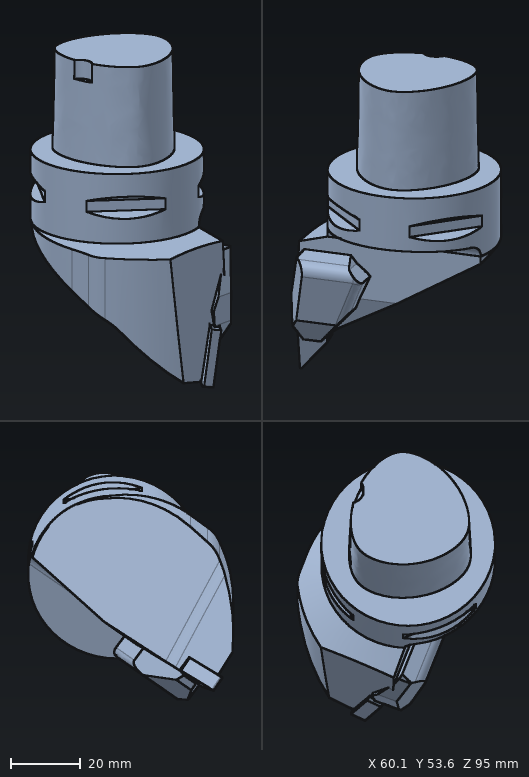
import cadquery as cq
import math

FAR = 76.0

FLANGE_RADIUS = 25.0
FLANGE_HEIGHT = 20.9

SHANK_HEIGHT = 29.8
SHANK_BASE_RADIUS = 17.6
SHANK_TOP_RADIUS = 17.0
LOBE_HEIGHT = 1.1
LOBE_COUNT = 3
SECTION_POINTS = 36

NOTCH_RADIUS = 3.8
NOTCH_DEPTH = 5.6
NOTCH_CENTER_Y = -17.8

SLOT_COUNT = 4
SLOT_FLOOR_RADIUS = 22.2
SLOT_CENTER_Z = -10.2
SLOT_FLOOR_HALF_HEIGHT = 1.6
SLOT_MOUTH_HALF_HEIGHT = 3.3
SLOT_FIRST_ANGLE = 45.0

FRONT_Y = 8.1
HEAD_NECK_RADIUS = 24.8
HEAD_BACK_Y = -28.6
SHOULDER_SLOPE = 0.3
UNDERSIDE_EDGE_Z = -16.15
UNDERSIDE_SLOPE = 0.085
UNDERSIDE_FILLET = 3.8
HEEL_AXIS_Z = -36.0
HEEL_NORMAL = (-0.6, -0.17, -1)
FLANK_AXIS_Z = -22.7
FLANK_NORMAL = (-1.19, -0.1, -1)
END_FACE_POINT = (32.0, 0, -23.4)
END_FACE_NORMAL = (1, -0.05, 0.053)
CLEARANCE_FILLET = 11.4

RAKE_ANGLE = 16.5
TOTAL_HEIGHT = 95.0
NOSE_RADIUS = 0.4
NOSE_SETBACK = 0.68
TIP_X = 35.2
TIP_Z = SHANK_HEIGHT - TOTAL_HEIGHT - NOSE_SETBACK
INSERT_THICKNESS = 4.6
TRAILING_EDGE = (-9.6, 11.1)
LEADING_EDGE = (-0.95, 17.4)

CLAMP_FILLET = 2.4
CLAMP_CORNER = ((28.5, 16.15), (33.4, 10.5))


def shank_section(mean_radius, z):
    """Closed three-lobed outline, given by its support function."""
    points = []
    for i in range(SECTION_POINTS):
        angle = 2 * math.pi * i / SECTION_POINTS
        phase = LOBE_COUNT * (angle - math.pi / 2)
        support = mean_radius + LOBE_HEIGHT * math.cos(phase)
        slope = -LOBE_COUNT * LOBE_HEIGHT * math.sin(phase)
        x = support * math.cos(angle) - slope * math.sin(angle)
        y = support * math.sin(angle) + slope * math.cos(angle)
        points.append(cq.Vector(x, y, z))
    return cq.Wire.assembleEdges([cq.Edge.makeSpline(points, periodic=True)])


def make_shank():
    base = shank_section(SHANK_BASE_RADIUS, 0)
    top = shank_section(SHANK_TOP_RADIUS, SHANK_HEIGHT)
    shank = cq.Workplane(cq.Solid.makeLoft([base, top], True))
    notch = (
        cq.Workplane("XY", origin=(0, NOTCH_CENTER_Y, SHANK_HEIGHT - NOTCH_DEPTH))
        .circle(NOTCH_RADIUS)
        .extrude(FAR)
    )
    return shank.cut(notch)


def make_slot_cutter(angle):
    """Straight slot with sloping sides, cut across the flange rim."""
    flare = (SLOT_MOUTH_HALF_HEIGHT - SLOT_FLOOR_HALF_HEIGHT) / (FLANGE_RADIUS - SLOT_FLOOR_RADIUS)
    outer_radius = FLANGE_RADIUS + 0.95
    outer_half = SLOT_FLOOR_HALF_HEIGHT + flare * (outer_radius - SLOT_FLOOR_RADIUS)
    cutter = (
        cq.Workplane("XZ", origin=(0, 0, SLOT_CENTER_Z))
        .polyline([
            (SLOT_FLOOR_RADIUS, -SLOT_FLOOR_HALF_HEIGHT),
            (outer_radius, -outer_half),
            (outer_radius, outer_half),
            (SLOT_FLOOR_RADIUS, SLOT_FLOOR_HALF_HEIGHT),
        ])
        .close()
        .extrude(FLANGE_RADIUS, both=True)
    )
    return cutter.rotate((0, 0, 0), (0, 0, 1), angle)


def make_flange():
    flange = cq.Workplane("XY").circle(FLANGE_RADIUS).extrude(-FLANGE_HEIGHT)
    for i in range(SLOT_COUNT):
        flange = flange.cut(make_slot_cutter(SLOT_FIRST_ANGLE + i * 360 / SLOT_COUNT))
    return flange


def make_head_blank():
    """Vertical-walled head under a conical shoulder."""
    front_left_x = -math.sqrt(HEAD_NECK_RADIUS**2 - FRONT_Y**2)
    blend_x = -16.6
    blend_y = -math.sqrt(HEAD_NECK_RADIUS**2 - blend_x**2)
    right_x = 38.0
    walls = (
        cq.Workplane("XY", origin=(0, 0, -FLANGE_HEIGHT))
        .moveTo(front_left_x, FRONT_Y)
        .threePointArc((-HEAD_NECK_RADIUS, 0), (blend_x, blend_y))
        .threePointArc((-6.6, -25.7), (6.2, HEAD_BACK_Y))
        .lineTo(12.2, HEAD_BACK_Y)
        .threePointArc((14.9, -28.3), (17.3, -27.3))
        .threePointArc((26.8, -20.1), (33.7, -10.9))
        .lineTo(right_x, FRONT_Y)
        .close()
        .extrude(-FAR)
    )
    shoulder_drop = SHOULDER_SLOPE * (FAR - FLANGE_RADIUS)
    shoulder = (
        cq.Workplane("XZ")
        .polyline([
            (0, -FLANGE_HEIGHT),
            (FLANGE_RADIUS, -FLANGE_HEIGHT),
            (FAR, -FLANGE_HEIGHT - shoulder_drop),
            (FAR, -2 * FAR),
            (0, -2 * FAR),
        ])
        .close()
        .revolve(360, (0, 0, 0), (0, 1, 0))
    )
    return walls.intersect(shoulder)


def half_space(point, normal):
    """Large block lying on the side of a plane that its normal points to."""
    plane = cq.Plane(origin=point, normal=normal)
    return cq.Workplane(plane).rect(4 * FAR, 4 * FAR).extrude(2 * FAR)


def make_clearance_cutter():
    """Space under both lower planes, with a rounded edge where they meet."""
    heel = half_space((0, 0, HEEL_AXIS_Z), HEEL_NORMAL)
    flank = half_space((0, 0, FLANK_AXIS_Z), FLANK_NORMAL)
    wedge = heel.intersect(flank)
    ridge = cq.Vector(HEEL_NORMAL).cross(cq.Vector(FLANK_NORMAL))
    return wedge.edges(cq.selectors.ParallelDirSelector(ridge)).edges(">Z").fillet(CLEARANCE_FILLET)


def make_end_cutter():
    """Space beyond the slightly tilted end face of the head."""
    return half_space(END_FACE_POINT, END_FACE_NORMAL)


def make_front_cutter():
    """Relief in front of the head and below the flange, including the rake plane."""
    corner_z = UNDERSIDE_EDGE_Z - UNDERSIDE_SLOPE * (FLANGE_RADIUS - FRONT_Y)
    far_z = UNDERSIDE_EDGE_Z + UNDERSIDE_SLOPE * (FAR - FLANGE_RADIUS)
    relief = (
        cq.Workplane("YZ")
        .polyline([(FRONT_Y, corner_z), (FAR, far_z), (FAR, -FAR), (FRONT_Y, -FAR)])
        .close()
        .extrude(FAR, both=True)
        .edges("|X")
        .edges("<Y")
        .edges(">Z")
        .fillet(UNDERSIDE_FILLET)
    )
    rake_slope = math.tan(math.radians(RAKE_ANGLE))
    rake = (
        cq.Workplane("YZ")
        .polyline([
            (FRONT_Y, TIP_Z + FRONT_Y / rake_slope),
            (FRONT_Y, -FAR),
            ((-FAR - TIP_Z) * rake_slope, -FAR),
        ])
        .close()
        .extrude(FAR, both=True)
    )
    return relief.union(rake)


def make_clamp_nose():
    """Sloping nose over the insert, part of the holder."""
    side = (
        cq.Workplane("YZ")
        .moveTo(FRONT_Y, -30.1)
        .lineTo(9.8, -25.0)
        .lineTo(13.9, -26.8)
        .threePointArc((15.8, -28.4), (16.2, -31.1))
        .lineTo(12.8, -45.9)
        .lineTo(6.5, -53.9)
        .lineTo(3.9, -54.7)
        .lineTo(1.9, -42.75)
        .close()
        .extrude(FAR)
    )
    face = (
        cq.Workplane("XZ")
        .polyline([
            (17.1, -22.8),
            (28.5, -22.8),
            (31.35, -26.6),
            (34.2, -38.95),
            (33.7, -47.5),
            (31.35, -55.1),
            (27.55, -55.1),
            (15.2, -41.8),
            (10.45, -31.35),
            (14.25, -27.55),
        ])
        .close()
        .extrude(FAR, both=True)
    )
    (x1, y1), (x2, y2) = CLAMP_CORNER
    corner = half_space((x1, y1, 0), (y1 - y2, x2 - x1, 0))
    outer_edge_middle = (12.8, 14.5, -38.0)
    return (
        side.intersect(face)
        .cut(corner)
        .edges(cq.selectors.NearestToPointSelector(outer_edge_middle))
        .fillet(CLAMP_FILLET)
    )


def make_insert():
    """Rhombic cutting insert lying in the rake plane, its nose at the tip."""
    angle = math.radians(RAKE_ANGLE)
    plane = cq.Plane(
        origin=(TIP_X, 0, TIP_Z),
        xDir=(1, 0, 0),
        normal=(0, -math.cos(angle), math.sin(angle)),
    )
    nose_middle = (plane.origin + plane.zDir * (INSERT_THICKNESS / 2)).toTuple()
    inner_corner = (TRAILING_EDGE[0] + LEADING_EDGE[0], TRAILING_EDGE[1] + LEADING_EDGE[1])
    return (
        cq.Workplane(plane)
        .polyline([(0, 0), LEADING_EDGE, inner_corner, TRAILING_EDGE])
        .close()
        .extrude(INSERT_THICKNESS)
        .edges(cq.selectors.NearestToPointSelector(nose_middle))
        .fillet(NOSE_RADIUS)
    )


def make_holder(insert):
    head = make_head_blank().cut(make_end_cutter())
    body = make_flange().union(head).cut(make_clearance_cutter()).cut(make_front_cutter())
    return body.union(make_shank()).union(make_clamp_nose()).cut(insert)


insert = make_insert()
holder = make_holder(insert)
result = cq.Compound.makeCompound([holder.val(), insert.val()])